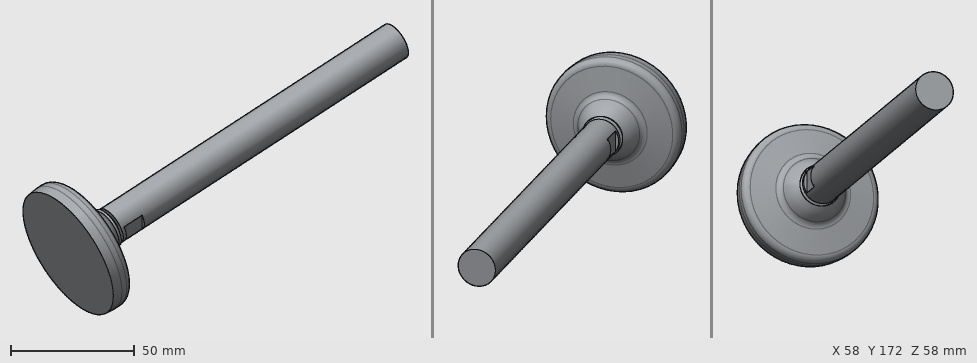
import cadquery as cq

total_length = 172.0
foot_face_y = -total_length / 2

foot_radius = 58.0 / 2
face_radius = 28.5
taper_height = 4.1
rim_height = 6.7
shoulder_radius = 26.1
shoulder_height = 9.8
slope_top_radius = 15.8
slope_top_height = 11.5
dome_base_radius = 13.2
dome_base_height = 13.5
dome_mid_radius = 11.5
dome_mid_height = 16.7
dome_top_radius = 8.3
dome_top_height = 19.8

shank_radius = 16.0 / 2
collar_radius = 8.6
collar_height = 20.8
neck_radius = 5.7
shank_height = 22.4

flat_start_height = 23.9
flat_length = 9.5
across_flats = 13.2


def revolve_about_axis(profile):
    """Turn a half profile of (radius, height) about the Y axis and set it on the foot face level."""
    return profile.close().revolve(360, (0, 0, 0), (0, 1, 0)).translate((0, foot_face_y, 0))


def make_foot():
    """Round foot with a tapered rim, sloping shoulder and domed hub."""
    profile = (
        cq.Workplane("XY")
        .lineTo(face_radius, 0)
        .lineTo(foot_radius, taper_height)
        .lineTo(foot_radius, rim_height)
        .tangentArcPoint((shoulder_radius, shoulder_height), relative=False)
        .lineTo(slope_top_radius, slope_top_height)
        .tangentArcPoint((dome_base_radius, dome_base_height), relative=False)
        .threePointArc((dome_mid_radius, dome_mid_height), (dome_top_radius, dome_top_height))
        .lineTo(0, dome_top_height)
    )
    return revolve_about_axis(profile)


def cut_wrench_flats(rod):
    """Cut a flat on the -X and +X sides of the shank."""
    cut_depth = shank_radius
    for side in (-1, 1):
        cutter = cq.Workplane("XY").box(cut_depth, flat_length, 2 * shank_radius).translate((
            side * (across_flats + cut_depth) / 2,
            foot_face_y + flat_start_height + flat_length / 2,
            0,
        ))
        rod = rod.cut(cutter)
    return rod


def make_rod():
    """Rod standing on the dome: flared collar, tapered neck and long shank."""
    profile = (
        cq.Workplane("XY")
        .moveTo(0, dome_top_height)
        .lineTo(dome_top_radius, dome_top_height)
        .lineTo(collar_radius, collar_height)
        .lineTo(neck_radius, shank_height)
        .lineTo(shank_radius, shank_height)
        .lineTo(shank_radius, total_length)
        .lineTo(0, total_length)
    )
    return cut_wrench_flats(revolve_about_axis(profile))


foot = make_foot()
rod = make_rod()
result = cq.Compound.makeCompound([foot.val(), rod.val()])